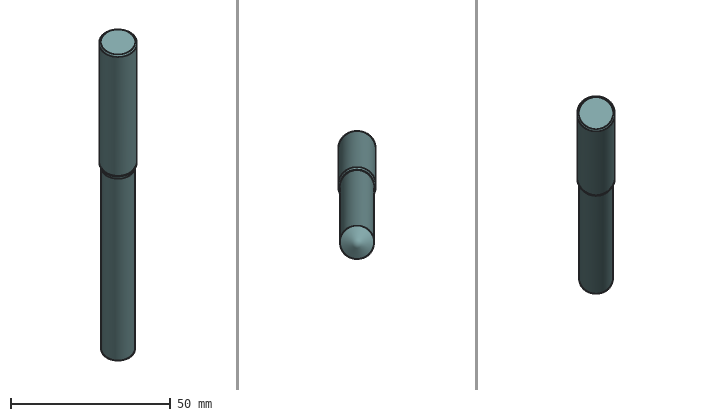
import cadquery as cq
import math

total_length = 144.0
shank_diameter = 12.0
drill_diameter = 10.8

shank_length = 55.2
end_chamfer = 0.6
transition_length = 1.0
neck_length = 1.0

point_angle = 118.0

shank_radius = shank_diameter / 2
drill_radius = drill_diameter / 2
point_height = drill_radius / math.tan(math.radians(point_angle / 2))

top_z = total_length / 2
tip_z = -total_length / 2
shoulder_z = top_z - shank_length
neck_top_z = shoulder_z - transition_length
joint_z = neck_top_z - neck_length
point_base_z = tip_z + point_height


def revolve_profile(points):
    """Revolve a closed (radius, z) profile around the Z axis."""
    return cq.Workplane("XZ").polyline(points).close().revolve(360, (0, 0), (0, 1))


def make_shank():
    """Chamfered shank that narrows through a cone to a short neck."""
    return revolve_profile([
        (0, top_z),
        (shank_radius - end_chamfer, top_z),
        (shank_radius, top_z - end_chamfer),
        (shank_radius, shoulder_z),
        (drill_radius, neck_top_z),
        (drill_radius, joint_z),
        (0, joint_z),
    ])


def make_drill():
    """Cylindrical cutting body with a conical point, butted against the neck."""
    return revolve_profile([
        (0, joint_z),
        (drill_radius, joint_z),
        (drill_radius, point_base_z),
        (0, tip_z),
    ])


shank = make_shank()
drill = make_drill()

result = cq.Compound.makeCompound([shank.val(), drill.val()])